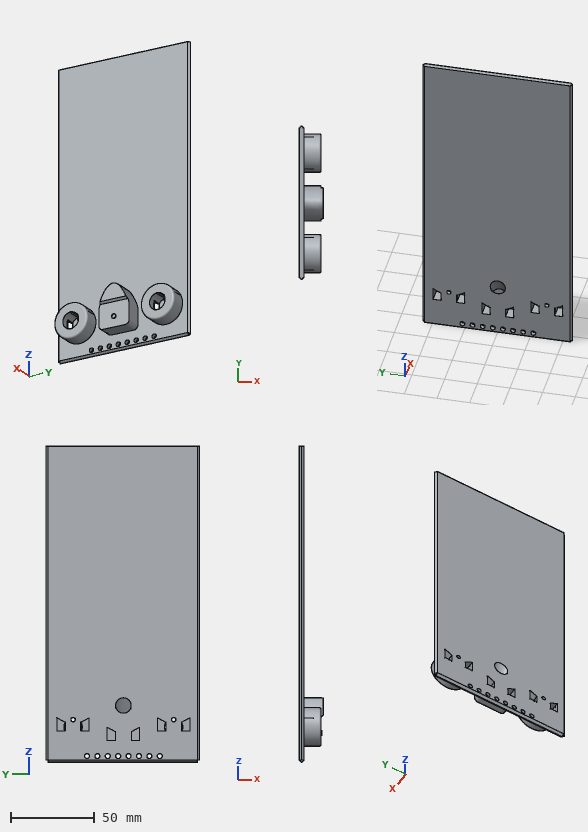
import cadquery as cq
import math

plate_width = 91.7
plate_height = 188.7
plate_thickness = 3.0
bevel_depth = 1.3

layout_y = -0.4

row_hole_count = 8
row_hole_diameter = 2.8
row_length = 43.4
row_z = 3.8

knob_offset = 30.0
knob_z = 21.1
knob_diameter = 23.0
knob_end_x = 13.2
knob_rounding = 1.1
knob_bore_diameter = 10.8
knob_pin_hole_diameter = 2.5
knob_pin_hole_z = 25.5

shield_half_width = 10.5
shield_top_z = 38.7
shield_shoulder_z = 24.3
shield_flank_points = [(8.0, 31.1), (3.8, 37.0)]
shield_flank_lean = 15.0
shield_bottom_z = 10.5
shield_corner_radius = 2.8
shield_end_x = knob_end_x
shield_rim_depth = 2.3
shield_rim_inset = 0.2

step_end_x = 14.5
step_bottom_z = 27.0
pin_diameter = 2.8
pin_z = 17.5
pin_end_x = 13.8

duct_diameter = 9.2
duct_z = 34.0
duct_depth = 6.0
duct_drop = 10.0

pocket_inner = 4.7
pocket_outer = 9.6
pocket_height = 7.7
pocket_inner_height = 5.1
pocket_depth = 8.5
side_pocket_z = 18.9
middle_pocket_z = 13.2


def rod(diameter, y, z, x_start, x_end):
    """Round rod along X."""
    rod_plane = cq.Workplane("YZ", origin=(x_start, y, z))
    return rod_plane.circle(diameter / 2).extrude(x_end - x_start)


def make_plate():
    """Plate with a pointed ridge along both sides and the bottom; the ridges are not mitred."""
    face_width = plate_width - 2 * bevel_depth
    face_height = plate_height - bevel_depth
    across = (
        cq.Workplane("XY", origin=(0, 0, bevel_depth))
        .moveTo(0, -face_width / 2)
        .lineTo(plate_thickness / 2, -plate_width / 2)
        .lineTo(plate_thickness, -face_width / 2)
        .lineTo(plate_thickness, face_width / 2)
        .lineTo(plate_thickness / 2, plate_width / 2)
        .lineTo(0, face_width / 2)
        .close()
        .extrude(face_height)
    )
    bottom_ridge = (
        cq.Workplane("XZ", origin=(0, face_width / 2, 0))
        .moveTo(0, bevel_depth)
        .lineTo(plate_thickness / 2, 0)
        .lineTo(plate_thickness, bevel_depth)
        .close()
        .extrude(face_width)
    )
    return across.union(bottom_ridge)


def make_knob(y):
    """Round knob with a rounded outer rim."""
    knob = rod(knob_diameter, y, knob_z, plate_thickness, knob_end_x)
    return knob.faces(">X").edges().fillet(knob_rounding)


def shield_block(end_x):
    """Shield outline, extruded from the back of the plate to end_x."""
    lean = math.radians(shield_flank_lean)
    left_flank = [(-y, z) for y, z in shield_flank_points]
    right_flank = [(y, z) for y, z in reversed(shield_flank_points)]
    right_shoulder = (shield_half_width, shield_shoulder_z)
    block = (
        cq.Workplane("YZ", origin=(plate_thickness, layout_y, 0))
        .moveTo(-shield_half_width, shield_shoulder_z)
        .spline(
            left_flank + [(0, shield_top_z)] + right_flank + [right_shoulder],
            tangents=[(math.sin(lean), math.cos(lean)), (math.sin(lean), -math.cos(lean))],
            includeCurrent=True,
        )
        .lineTo(shield_half_width, shield_bottom_z)
        .lineTo(-shield_half_width, shield_bottom_z)
        .close()
        .extrude(end_x - plate_thickness)
    )
    block = block.edges("|X and <Z").fillet(shield_corner_radius)
    return block.faces(">X").edges().chamfer(shield_rim_depth, shield_rim_inset)


def make_shield():
    """Shield with its raised upper step and the pin below the step."""
    step_height = step_end_x - shield_end_x
    below_step = (
        cq.Workplane("XZ", origin=(0, layout_y + shield_half_width, 0))
        .moveTo(shield_end_x, 0)
        .lineTo(shield_end_x, step_bottom_z)
        .lineTo(step_end_x, step_bottom_z + step_height)
        .lineTo(step_end_x, 0)
        .close()
        .extrude(2 * shield_half_width)
    )
    pin = rod(pin_diameter, layout_y, pin_z, plate_thickness, pin_end_x)
    return shield_block(step_end_x).cut(below_step).union(pin)


def pocket_pair(y, z):
    """Two mirrored pockets cut from the outer face, centred on y, with their bottom edges at z."""
    pockets = cq.Workplane("YZ")
    for side in (-1, 1):
        pockets = (
            pockets.moveTo(y + side * pocket_inner, z)
            .lineTo(y + side * pocket_outer, z)
            .lineTo(y + side * pocket_outer, z + pocket_height)
            .lineTo(y + side * pocket_inner, z + pocket_inner_height)
            .close()
        )
    return pockets.extrude(pocket_depth)


def make_duct():
    """Slanted round duct: a circle on the outer face, lofted to one deeper and lower."""
    radius = duct_diameter / 2
    return (
        cq.Workplane("YZ", origin=(0, layout_y, duct_z))
        .circle(radius)
        .workplane(offset=duct_depth)
        .center(0, -duct_drop)
        .circle(radius)
        .loft(ruled=True)
    )


result = make_plate().union(make_shield())
for knob_y in (layout_y - knob_offset, layout_y + knob_offset):
    result = result.union(make_knob(knob_y))
    result = result.cut(rod(knob_bore_diameter, knob_y, knob_z, plate_thickness, knob_end_x))
    result = result.cut(rod(knob_pin_hole_diameter, knob_y, knob_pin_hole_z, 0, knob_end_x))
    result = result.cut(pocket_pair(knob_y, side_pocket_z))

result = result.cut(pocket_pair(layout_y, middle_pocket_z)).cut(make_duct())

row_pitch = row_length / (row_hole_count - 1)
for index in range(row_hole_count):
    row_y = layout_y - row_length / 2 + index * row_pitch
    result = result.cut(rod(row_hole_diameter, row_y, row_z, 0, plate_thickness))